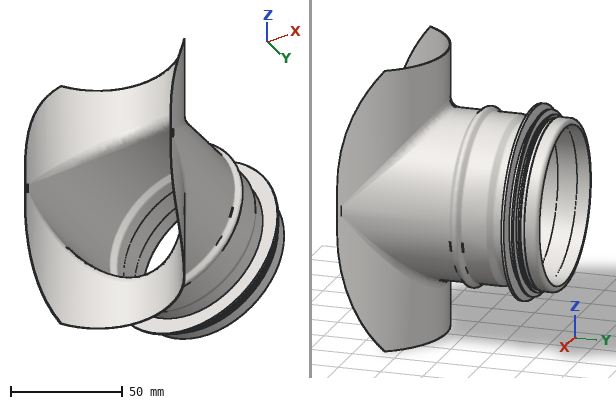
import cadquery as cq
import math

pipe_diameter = 78.1
pipe_radius = pipe_diameter / 2
wall = 0.5
saddle_height = 133.0
wing_end_y = 20.6
straight_half_height = 10.6
junction_start_y = 2.0
junction_radius = 4.4

tube_end_y = 95.0
neck_radius = 74.2 / 2
cone_start_y = 70.5
cone_end_y = 73.4
cone_bend_radius = 1.3

bead_y = 56.0
bead_height = 2.1
bead_tip_radius = 1.7
bead_root_radius = 0.8

rim_radius = 79.0 / 2
rim_face_radius = 75.4 / 2
rim_start_y = 88.6

seal_start_y = 79.5
seal_radius = 78.1 / 2
flange_radius = 89.5 / 2
flange_root_width = 1.9
flange_tip_width = 1.2
middle_lip_radius = 84.9 / 2
middle_lip_y = 84.0
middle_lip_root_width = 1.3
middle_lip_tip_width = 0.8
small_lip_radius = 80.6 / 2
small_lip_y = 85.7
small_lip_root_width = 1.2
small_lip_tip_width = 0.8


def revolve_about_y(points):
    """Revolve a closed outline of (radius, y) points about the Y axis."""
    return cq.Workplane("XY").polyline(points).close().revolve(360, (0, 0, 0), (0, 1, 0))


def round_circle(body, radius, y, fillet_radius):
    """Fillet the circular edge of the given radius at height y on the branch axis."""
    margin = 0.07
    reach = radius + margin
    edge = cq.selectors.BoxSelector((-reach, y - margin, -reach), (reach, y + margin, reach), boundingbox=True)
    return body.edges(edge).fillet(fillet_radius)


def tube_solid(inset):
    """Solid bounded by the plain tube's outer surface moved inwards by inset."""
    body_radius = pipe_radius - inset
    end_radius = neck_radius - inset
    cone_angle = math.atan2(pipe_radius - neck_radius, cone_end_y - cone_start_y)
    cone_shift = inset * math.tan(cone_angle / 2)
    cone_low_y = cone_start_y - cone_shift
    cone_high_y = cone_end_y - cone_shift
    tube = revolve_about_y([
        (0, junction_start_y),
        (body_radius, junction_start_y),
        (body_radius, cone_low_y),
        (end_radius, cone_high_y),
        (end_radius, tube_end_y),
        (0, tube_end_y),
    ])
    tube = round_circle(tube, body_radius, cone_low_y, cone_bend_radius)
    return round_circle(tube, end_radius, cone_high_y, cone_bend_radius)


def add_bead(tube):
    """Add the rounded bead around the outside of the tube."""
    apex_height = bead_height + bead_tip_radius * (math.sqrt(2) - 1)
    bead_apex = pipe_radius + apex_height
    embedded_radius = pipe_radius - wall / 2
    bead = revolve_about_y([
        (embedded_radius, bead_y - apex_height),
        (pipe_radius, bead_y - apex_height),
        (bead_apex, bead_y),
        (pipe_radius, bead_y + apex_height),
        (embedded_radius, bead_y + apex_height),
    ])
    beaded = round_circle(tube.union(bead), bead_apex, bead_y, bead_tip_radius)
    for side in (-1, 1):
        beaded = round_circle(beaded, pipe_radius, bead_y + side * apex_height, bead_root_radius)
    return beaded


def half_pipe(inset):
    """Solid vertical pipe, kept only where y is positive."""
    radius = pipe_radius - inset
    pipe = cq.Workplane("XY").circle(radius).extrude(saddle_height / 2, both=True)
    keep = cq.Workplane("XY").box(pipe_diameter, pipe_diameter, saddle_height, centered=(True, False, True))
    return pipe.intersect(keep)


def fitting_solid(inset):
    """Pipe and tube joined and filleted, with every outer surface moved inwards by inset."""
    joined = half_pipe(inset).union(tube_solid(inset))
    return joined.edges("%ELLIPSE").fillet(junction_radius + inset)


def edge_curve_keep():
    """Block, bounded in front by the saddle's curved edge, that trims the wings."""
    half_height = saddle_height / 2
    rise = half_height - straight_half_height
    arc_radius = (rise**2 + wing_end_y**2) / (2 * wing_end_y)
    half_sweep = math.asin(rise / arc_radius) / 2
    mid_y = arc_radius * (1 - math.cos(half_sweep))
    mid_z = straight_half_height + arc_radius * math.sin(half_sweep)
    return (
        cq.Workplane("YZ")
        .moveTo(0, -straight_half_height)
        .lineTo(0, straight_half_height)
        .threePointArc((mid_y, mid_z), (wing_end_y, half_height))
        .lineTo(tube_end_y, half_height)
        .lineTo(tube_end_y, -half_height)
        .lineTo(wing_end_y, -half_height)
        .threePointArc((mid_y, -mid_z), (0, -straight_half_height))
        .close()
        .extrude(pipe_diameter, both=True)
    )


def make_rim():
    """Thick collar at the tube end, rounded at its end face."""
    disc = revolve_about_y([
        (0, rim_start_y),
        (rim_radius, rim_start_y),
        (rim_radius, tube_end_y),
        (0, tube_end_y),
    ])
    disc = round_circle(disc, rim_radius, tube_end_y, rim_radius - rim_face_radius)
    bore_radius = neck_radius - wall
    bore = revolve_about_y([
        (0, rim_start_y),
        (bore_radius, rim_start_y),
        (bore_radius, tube_end_y),
        (0, tube_end_y),
    ])
    return disc.cut(bore)


def make_fitting():
    """Thin-walled saddle with its branch tube and end rim."""
    shell = fitting_solid(0).cut(fitting_solid(wall))
    trimmed = shell.intersect(edge_curve_keep())
    return add_bead(trimmed).union(make_rim())


def make_seal():
    """Ring around the neck with a wide flange and two thinner lips."""
    return revolve_about_y([
        (neck_radius, seal_start_y),
        (flange_radius, seal_start_y),
        (flange_radius, seal_start_y + flange_tip_width),
        (seal_radius, seal_start_y + flange_root_width),
        (seal_radius, middle_lip_y - middle_lip_root_width / 2),
        (middle_lip_radius, middle_lip_y - middle_lip_tip_width / 2),
        (middle_lip_radius, middle_lip_y + middle_lip_tip_width / 2),
        (seal_radius, middle_lip_y + middle_lip_root_width / 2),
        (seal_radius, small_lip_y),
        (small_lip_radius, small_lip_y + small_lip_root_width - small_lip_tip_width),
        (small_lip_radius, small_lip_y + small_lip_root_width),
        (seal_radius, small_lip_y + small_lip_root_width),
        (seal_radius, rim_start_y),
        (neck_radius, rim_start_y),
    ])


fitting = make_fitting()
seal = make_seal()
result = cq.Compound.makeCompound([*fitting.solids().vals(), seal.val()])